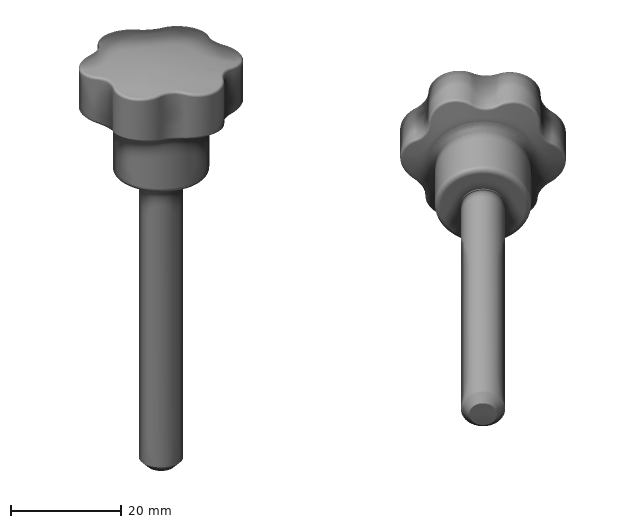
import cadquery as cq
import math

total_height = 83.65
neck_bottom = 60.0

lobe_count = 6
grip_diameter = 30.0
lobe_radius = 5.35
valley_depth_radius = 12.5
crown_radius = 79.5
underside_bottom = 71.35
underside_radius = 50.2
grip_edge_fillet = 0.5

neck_diameter = 17.5
neck_top_fillet = 1.4
neck_bottom_fillet = 1.0

rod_diameter = 8.0
rod_chamfer = 1.5
collar_diameter = 8.45
collar_height = 0.25

lobe_pitch = 360.0 / lobe_count
half_pitch = lobe_pitch / 2
lobe_center = grip_diameter / 2 - lobe_radius
axial_offset = lobe_center * math.cos(math.radians(half_pitch))
side_offset = lobe_center * math.sin(math.radians(half_pitch))
gap = valley_depth_radius - axial_offset
valley_radius = (gap**2 + side_offset**2 - lobe_radius**2) / (2 * (lobe_radius - gap))
valley_center = valley_depth_radius + valley_radius


def polar(radius, degrees):
    angle = math.radians(degrees)
    return (radius * math.cos(angle), radius * math.sin(angle))


def tangent_point(lobe_angle, side):
    """Point where a lobe meets its neighbouring valley (side is +1 or -1)."""
    lobe = polar(lobe_center, lobe_angle)
    valley = polar(valley_center, lobe_angle + side * half_pitch)
    share = lobe_radius / (lobe_radius + valley_radius)
    return (lobe[0] + share * (valley[0] - lobe[0]), lobe[1] + share * (valley[1] - lobe[1]))


def star_outline(z):
    first_angle = 90.0
    outline = cq.Workplane("XY").workplane(offset=z).moveTo(*tangent_point(first_angle, -1))
    for index in range(lobe_count):
        angle = first_angle + index * lobe_pitch
        outline = outline.threePointArc(polar(grip_diameter / 2, angle), tangent_point(angle, 1))
        valley_bottom = polar(valley_depth_radius, angle + half_pitch)
        outline = outline.threePointArc(valley_bottom, tangent_point(angle + lobe_pitch, -1))
    return outline.close()


def make_grip():
    star = star_outline(underside_bottom).extrude(total_height - underside_bottom)
    crown = cq.Workplane("XY").sphere(crown_radius).translate((0, 0, total_height - crown_radius))
    underside = cq.Workplane("XY").sphere(underside_radius)
    underside = underside.translate((0, 0, underside_bottom + underside_radius))
    grip = star.intersect(crown).intersect(underside)
    return grip.edges("not |Z").fillet(grip_edge_fillet)


def make_neck():
    """Neck that runs up into the grip, with a rounded lower rim."""
    neck_radius = neck_diameter / 2
    neck_top = (underside_bottom + total_height) / 2
    neck = (
        cq.Workplane("XY")
        .workplane(offset=neck_bottom)
        .circle(neck_radius)
        .extrude(neck_top - neck_bottom)
    )
    return neck.faces("<Z").edges().fillet(neck_bottom_fillet)


def fillet_under_grip(knob):
    """Round the circular inside corner between the neck and the grip."""
    junction = cq.selectors.BoxSelector(
        (-neck_diameter, -neck_diameter, underside_bottom),
        (neck_diameter, neck_diameter, underside_bottom + neck_top_fillet),
    )
    return knob.edges("%CIRCLE").edges(junction).fillet(neck_top_fillet)


def make_rod():
    rod = cq.Workplane("XY").circle(rod_diameter / 2).extrude(neck_bottom)
    rod = rod.faces("<Z").edges().chamfer(rod_chamfer)
    collar = (
        cq.Workplane("XY")
        .workplane(offset=neck_bottom - collar_height)
        .circle(collar_diameter / 2)
        .extrude(collar_height)
    )
    return rod.union(collar)


knob = fillet_under_grip(make_grip().union(make_neck()))
result = knob.union(make_rod())